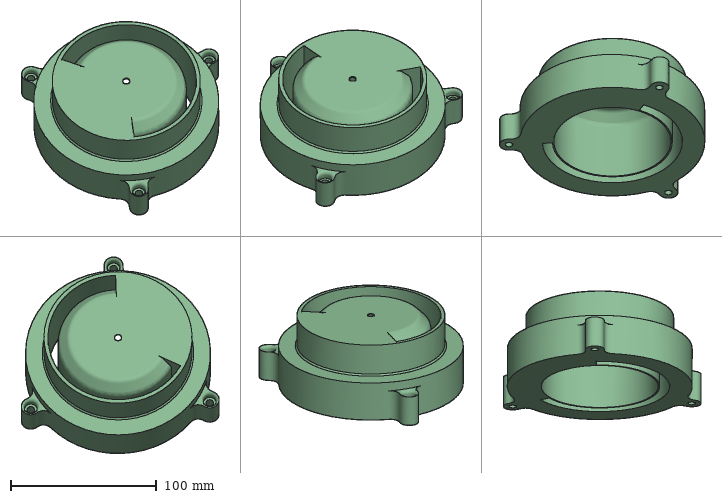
import cadquery as cq
import math

flange_radius = 63.5
flange_height = 27.9
tube_radius = 50.82
total_height = 50.7
collar_chamfer = 1.1

opening_radius = 48.1
opening_angle = 241
core_radius = 41.2
core_chamfer = 7.6
core_rounding = 5.0
core_wall = 1.0
center_hole_diameter = 4.8

lug_count = 3
lug_radius = 6.5
lug_distance = 141 - flange_radius - lug_radius
lug_height = 21.4
lug_straight_length = 2.1
screw_hole_diameter = 5.1
counterbore_diameter = 8.9
counterbore_depth = 5.2
counterbore_rounding = 2.7


def make_body():
    """Stepped round body with a small chamfered collar at the foot of the tube."""
    collar_radius = tube_radius + collar_chamfer
    profile = [
        (0, 0),
        (flange_radius, 0),
        (flange_radius, flange_height),
        (collar_radius, flange_height),
        (tube_radius, flange_height + collar_chamfer),
        (tube_radius, total_height),
        (0, total_height),
    ]
    return cq.Workplane("XZ").polyline(profile).close().revolve(360, (0, 0), (0, 1))


def make_core(inset):
    """Round core with a softened 45 degree shoulder, its surface moved inward by inset."""
    shoulder_loss = inset * (2 - math.sqrt(2))
    core = cq.Workplane("XY").circle(core_radius - inset).extrude(total_height - inset)
    core = core.faces(">Z").edges().chamfer(core_chamfer - shoulder_loss)
    return core.edges("not <Z").edges("%CIRCLE").fillet(core_rounding - inset)


def make_opening():
    """Through opening around the core, leaving a solid sector on the -Y side."""
    sweep = (
        cq.Workplane("XZ")
        .rect(opening_radius, total_height, centered=False)
        .revolve(opening_angle, (0, 0), (0, 1))
    )
    sweep_middle = sweep.val().Center()
    turn = 90 - math.degrees(math.atan2(sweep_middle.y, sweep_middle.x))
    sweep = sweep.rotate((0, 0, 0), (0, 0, 1), turn)
    return sweep.cut(make_core(0))


def make_lug():
    """Lug on the +Y side, blended into the flange by two concave arcs."""
    blend_y = lug_distance - lug_straight_length
    blend_radius = (blend_y**2 + lug_radius**2 - flange_radius**2) / (2 * (flange_radius - lug_radius))
    blend_x = lug_radius + blend_radius
    reach = flange_radius / (flange_radius + blend_radius)
    foot = (blend_x * reach, blend_y * reach)
    foot_angle = math.atan2(foot[1] - blend_y, foot[0] - blend_x)
    middle_angle = (foot_angle % (2 * math.pi) + math.pi) / 2
    middle = (
        blend_x + blend_radius * math.cos(middle_angle),
        blend_y + blend_radius * math.sin(middle_angle),
    )
    return (
        cq.Workplane("XY")
        .moveTo(0, tube_radius)
        .lineTo(*foot)
        .threePointArc(middle, (lug_radius, blend_y))
        .lineTo(lug_radius, lug_distance)
        .threePointArc((0, lug_distance + lug_radius), (-lug_radius, lug_distance))
        .lineTo(-lug_radius, blend_y)
        .threePointArc((-middle[0], middle[1]), (-foot[0], foot[1]))
        .close()
        .extrude(lug_height)
    )


def make_screw_hole():
    """Counterbored screw hole whose mouth flares out in a convex rounding."""
    hole_radius = screw_hole_diameter / 2
    bore_radius = counterbore_diameter / 2
    floor = lug_height - counterbore_depth
    flare_start = lug_height - counterbore_rounding
    mouth_radius = bore_radius + counterbore_rounding
    rounding_offset = counterbore_rounding * math.sqrt(0.5)
    flare_middle = (mouth_radius - rounding_offset, flare_start + rounding_offset)
    return (
        cq.Workplane("XZ")
        .lineTo(hole_radius, 0)
        .lineTo(hole_radius, floor)
        .lineTo(bore_radius, floor)
        .lineTo(bore_radius, flare_start)
        .threePointArc(flare_middle, (mouth_radius, lug_height))
        .lineTo(0, lug_height)
        .close()
        .revolve(360, (0, 0), (0, 1))
        .translate((0, lug_distance, 0))
    )


body = make_body()
for index in range(lug_count):
    angle = index * 360 / lug_count
    body = body.union(make_lug().rotate((0, 0, 0), (0, 0, 1), angle))
    body = body.cut(make_screw_hole().rotate((0, 0, 0), (0, 0, 1), angle))

center_hole = cq.Workplane("XY").circle(center_hole_diameter / 2).extrude(total_height)
core_cavity = make_core(core_wall)
result = body.cut(make_opening()).cut(core_cavity).cut(center_hole)